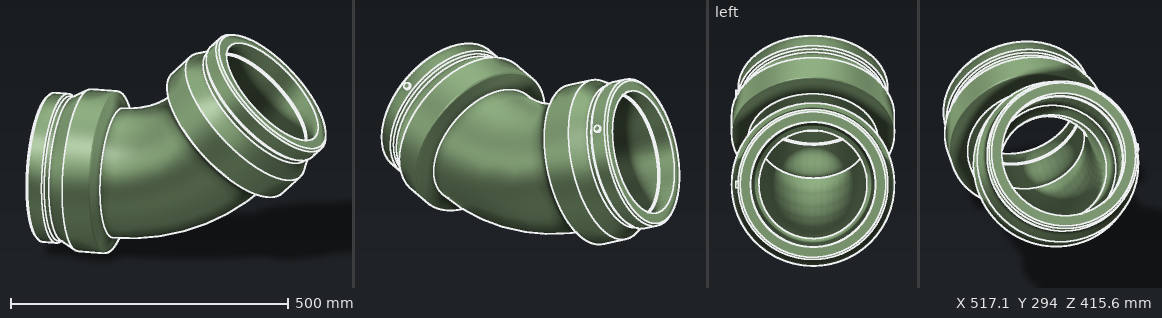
import cadquery as cq


bend_angle = 45.0
bend_radius = 275.0
pipe_diameter = 235.0
pipe_bore = 195.0

hub_diameter = 294.0
collar_diameter = 270.48
neck_diameter = 262.37
collar_chamfer = 4.0
collar_straight_end = 30.0
neck_start = 34.0
neck_end = 42.5
hub_start = 72.0
hub_end = 122.6
socket_length = 134.65
hub_edge_radius = 4.5

socket_bore = 225.0
groove_diameter = 227.0
groove_start = 31.0
groove_end = 34.5
bore_taper_start = 121.0

pin_diameter = 12.0
pin_height = 4.0
pin_position = neck_start / 2
pin_root_radius = (socket_bore + collar_diameter) / 4


def revolve_about_x(points):
    """Solid of revolution about the X axis from (x, radius) points."""
    return cq.Workplane("XY").polyline(points).close().revolve(360, (0, 0), (1, 0))


def socket_outside():
    collar_radius = collar_diameter / 2
    neck_radius = neck_diameter / 2
    hub_radius = hub_diameter / 2
    body = revolve_about_x([
        (0, 0),
        (0, collar_radius - collar_chamfer),
        (collar_chamfer, collar_radius),
        (collar_straight_end, collar_radius),
        (neck_start, neck_radius),
        (neck_end, neck_radius),
        (hub_start, hub_radius),
        (hub_end, hub_radius),
        (socket_length, pipe_diameter / 2),
        (socket_length, 0),
    ])
    hub_back_edge = cq.selectors.NearestToPointSelector((hub_end, 0, 0))
    return body.edges("%CIRCLE").edges(hub_back_edge).fillet(hub_edge_radius)


def collar_pin():
    pin_top_radius = collar_diameter / 2 + pin_height
    return (
        cq.Workplane("XZ", origin=(pin_position, pin_top_radius, 0))
        .circle(pin_diameter / 2)
        .extrude(pin_top_radius - pin_root_radius)
    )


def socket_inside():
    bore_radius = socket_bore / 2
    groove_radius = groove_diameter / 2
    return revolve_about_x([
        (0, 0),
        (0, bore_radius),
        (groove_start, bore_radius),
        (groove_start, groove_radius),
        (groove_end, groove_radius),
        (groove_end, bore_radius),
        (bore_taper_start, bore_radius),
        (socket_length, pipe_bore / 2),
        (socket_length, 0),
    ])


def bend(diameter):
    """Round bar curving upwards from the back of the first socket."""
    return (
        cq.Workplane("YZ", origin=(socket_length, 0, 0))
        .circle(diameter / 2)
        .revolve(bend_angle, (1, bend_radius), (0, bend_radius))
    )


def at_far_end(socket):
    """Mirror a first-socket body across the middle plane of the bend."""
    mirrored = socket.mirror("YZ", (socket_length, 0, 0))
    centre = (socket_length, 0, bend_radius)
    beside_centre = (socket_length, 1, bend_radius)
    return mirrored.rotate(centre, beside_centre, -bend_angle)


outside = socket_outside().union(collar_pin())
inside = socket_inside()

result = (
    bend(pipe_diameter)
    .union(outside)
    .union(at_far_end(outside))
    .cut(bend(pipe_bore))
    .cut(inside)
    .cut(at_far_end(inside))
)